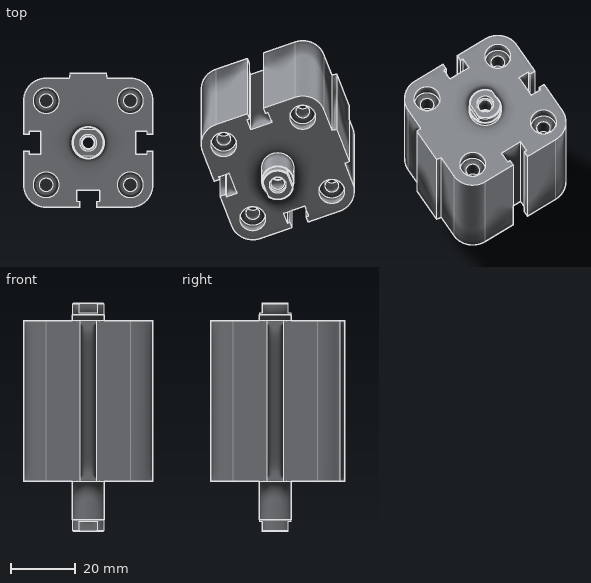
import cadquery as cq
HOUSING_SIDE = 40.0
HOUSING_HEIGHT = 49.7
CORNER_RADIUS = 7.0
HALF_SIDE = HOUSING_SIDE / 2

RIB_HEIGHT = 1.55
RIB_BASE_WIDTH = 11.7
RIB_TOP_WIDTH = 11.2

SLOT_MOUTH_WIDTH = 5.2
SLOT_INNER_WIDTH = 7.0
SLOT_DEPTH = 5.3
SLOT_LIP_THICKNESS = 1.8
SLOT_TURNS = (0, 90, -90)

MOUNT_SPACING = 26.0
MOUNT_HOLE_DIAMETER = 4.15
MOUNT_HOLE_DEPTH = 13.2
MOUNT_COUNTERBORE_DIAMETER = 8.0
MOUNT_COUNTERBORE_DEPTH = 5.0

ROD_LENGTH = 70.5
ROD_TOP_PROJECTION = 5.35
ROD_DIAMETER = 10.0
ROD_TOP_Z = HOUSING_HEIGHT + ROD_TOP_PROJECTION
ROD_BOTTOM_Z = ROD_TOP_Z - ROD_LENGTH
NECK_DIAMETER = 9.8
NECK_LENGTH = 3.5
NECK_CHAMFER = 0.3
FLAT_SPACING = 8.05
FLAT_LENGTH = 3.0
SHOULDER_CHAMFER_HEIGHT = 0.2
SHOULDER_CHAMFER_WIDTH = (ROD_DIAMETER - NECK_DIAMETER) / 2
ROD_BORE_DIAMETER = 3.7
END_HOLE_DIAMETER = 4.15
END_HOLE_DEPTH = 10.0
END_COUNTERBORE_DIAMETER = 5.2
END_COUNTERBORE_DEPTH = 1.9


def make_rib():
    """Trapezoidal rib on the +Y face, over the full housing height."""
    outline = [
        (-RIB_BASE_WIDTH / 2, HALF_SIDE),
        (RIB_BASE_WIDTH / 2, HALF_SIDE),
        (RIB_TOP_WIDTH / 2, HALF_SIDE + RIB_HEIGHT),
        (-RIB_TOP_WIDTH / 2, HALF_SIDE + RIB_HEIGHT),
    ]
    return cq.Workplane("XY").polyline(outline).close().extrude(HOUSING_HEIGHT)


def make_slot_cutter():
    """T-shaped slot cut into the -Y face, over the full housing height."""
    mouth = (
        cq.Workplane("XY")
        .center(0, SLOT_DEPTH / 2 - HALF_SIDE)
        .rect(SLOT_MOUTH_WIDTH, SLOT_DEPTH)
        .extrude(HOUSING_HEIGHT)
    )
    inner_depth = SLOT_DEPTH - SLOT_LIP_THICKNESS
    inner = (
        cq.Workplane("XY")
        .center(0, SLOT_LIP_THICKNESS + inner_depth / 2 - HALF_SIDE)
        .rect(SLOT_INNER_WIDTH, inner_depth)
        .extrude(HOUSING_HEIGHT)
    )
    return mouth.union(inner)


def make_housing():
    """Block with rib, T-slots, mounting holes in both ends and a bore that fits the rod."""
    housing = (
        cq.Workplane("XY")
        .rect(HOUSING_SIDE, HOUSING_SIDE)
        .extrude(HOUSING_HEIGHT)
        .edges("|Z")
        .fillet(CORNER_RADIUS)
        .union(make_rib())
    )

    slot = make_slot_cutter()
    for turn in SLOT_TURNS:
        housing = housing.cut(slot.rotate((0, 0, 0), (0, 0, 1), turn))

    for end_face in (">Z", "<Z"):
        housing = (
            housing.faces(end_face)
            .workplane(origin=(0, 0, 0))
            .rect(MOUNT_SPACING, MOUNT_SPACING, forConstruction=True)
            .vertices()
            .cboreHole(
                MOUNT_HOLE_DIAMETER,
                MOUNT_COUNTERBORE_DIAMETER,
                MOUNT_COUNTERBORE_DEPTH,
                depth=MOUNT_HOLE_DEPTH,
            )
        )

    rod_passage = cq.Workplane("XY").circle(ROD_DIAMETER / 2).extrude(HOUSING_HEIGHT)
    return housing.cut(rod_passage)


def make_neck():
    """Upper rod end: chamfered neck with two flats facing -Y and +Y."""
    neck = (
        cq.Workplane("XY", origin=(0, 0, ROD_TOP_Z - NECK_LENGTH))
        .circle(NECK_DIAMETER / 2)
        .extrude(NECK_LENGTH)
        .faces(">Z")
        .chamfer(NECK_CHAMFER)
    )
    flat_zone = (
        cq.Workplane("XY", origin=(0, 0, ROD_TOP_Z - FLAT_LENGTH))
        .rect(NECK_DIAMETER, NECK_DIAMETER)
        .rect(NECK_DIAMETER, FLAT_SPACING)
        .extrude(FLAT_LENGTH)
    )
    return neck.cut(flat_zone)


def make_end_hole_cutter():
    """Counterbored hole in the upper rod end, wider than the through bore."""
    hole = (
        cq.Workplane("XY", origin=(0, 0, ROD_TOP_Z - END_HOLE_DEPTH))
        .circle(END_HOLE_DIAMETER / 2)
        .extrude(END_HOLE_DEPTH)
    )
    counterbore = (
        cq.Workplane("XY", origin=(0, 0, ROD_TOP_Z - END_COUNTERBORE_DEPTH))
        .circle(END_COUNTERBORE_DIAMETER / 2)
        .extrude(END_COUNTERBORE_DEPTH)
    )
    return hole.union(counterbore)


def make_rod():
    """Rod with a neck and a counterbored hole at each end, joined by a through bore."""
    middle_z = (ROD_TOP_Z + ROD_BOTTOM_Z) / 2
    top_neck = make_neck()
    bottom_neck = top_neck.mirror("XY", (0, 0, middle_z))
    shaft = (
        cq.Workplane("XY", origin=(0, 0, ROD_BOTTOM_Z + NECK_LENGTH))
        .circle(ROD_DIAMETER / 2)
        .extrude(ROD_LENGTH - 2 * NECK_LENGTH)
        .faces("<Z or >Z")
        .chamfer(SHOULDER_CHAMFER_WIDTH, SHOULDER_CHAMFER_HEIGHT)
    )
    bore = (
        cq.Workplane("XY", origin=(0, 0, ROD_BOTTOM_Z))
        .circle(ROD_BORE_DIAMETER / 2)
        .extrude(ROD_LENGTH)
    )
    rod = shaft.union(top_neck).union(bottom_neck).cut(bore)

    top_hole = make_end_hole_cutter()
    bottom_hole = top_hole.mirror("XY", (0, 0, middle_z))
    return rod.cut(top_hole).cut(bottom_hole)


housing = make_housing()
rod = make_rod()

result = cq.Compound.makeCompound([housing.val(), rod.val()])